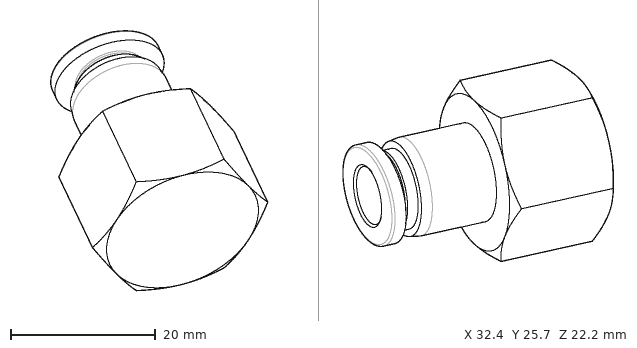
import cadquery as cq
import math

total_length = 32.4

hex_across_flats = 22.23
hex_start = 16.4
hex_length = total_length - hex_start
hex_across_corners = hex_across_flats / math.cos(math.radians(30))
hex_chamfer_angle = 30.0
hex_chamfer_radial = (hex_across_corners - hex_across_flats) / 2
hex_chamfer_axial = hex_chamfer_radial * math.tan(math.radians(hex_chamfer_angle))

barrel_diameter = 14.0
barrel_taper_end = 6.55
barrel_start = 5.0
barrel_nose_diameter = 13.5

flange_width = 16.0
flange_height = barrel_diameter
flange_thickness = 2.05
flange_edge_radius = 0.32
neck_diameter = 9.7
neck_fillet = 0.2
collar_diameter = 11.45
collar_start = 3.15
collar_chamfer = 0.23
sleeve_length = barrel_start

bore_diameter = 8.2
bore_chamfer = 0.32
bore_end = hex_start


def cylinder(diameter, start, end):
    """Solid cylinder along X between two positions."""
    return cq.Workplane("YZ", origin=(start, 0, 0)).circle(diameter / 2).extrude(end - start)


def make_hexagon():
    """Hexagon with corners on the Y axis and conical chamfers at both ends."""
    hexagon = (
        cq.Workplane("YZ", origin=(hex_start, 0, 0))
        .polygon(6, hex_across_corners)
        .extrude(hex_length)
    )
    face_radius = hex_across_flats / 2
    corner_radius = hex_across_corners / 2
    envelope = (
        cq.Workplane("XY")
        .moveTo(hex_start, 0)
        .lineTo(hex_start, face_radius)
        .lineTo(hex_start + hex_chamfer_axial, corner_radius)
        .lineTo(total_length - hex_chamfer_axial, corner_radius)
        .lineTo(total_length, face_radius)
        .lineTo(total_length, 0)
        .close()
        .revolve(360, (0, 0, 0), (1, 0, 0))
    )
    return hexagon.intersect(envelope)


def make_barrel():
    """Round barrel with a tapered nose."""
    return (
        cq.Workplane("XY")
        .moveTo(barrel_start, 0)
        .lineTo(barrel_start, barrel_nose_diameter / 2)
        .lineTo(barrel_taper_end, barrel_diameter / 2)
        .lineTo(hex_start, barrel_diameter / 2)
        .lineTo(hex_start, 0)
        .close()
        .revolve(360, (0, 0, 0), (1, 0, 0))
    )


def make_housing():
    """Barrel and hexagon with a blind tube bore; the sleeve butts against the barrel nose."""
    tube_bore = cylinder(bore_diameter, barrel_start, bore_end)
    return make_hexagon().union(make_barrel()).cut(tube_bore)


def make_sleeve():
    """Oval flange, round neck and chamfered collar, bored through for the tube."""
    flange = (
        cq.Workplane("YZ")
        .ellipse(flange_width / 2, flange_height / 2)
        .extrude(flange_thickness)
        .faces("<X")
        .edges()
        .fillet(flange_edge_radius)
    )
    neck = cylinder(neck_diameter, flange_thickness, collar_start)
    neck_root = cq.selectors.BoxSelector(
        (flange_thickness - neck_fillet, -neck_diameter, -neck_diameter),
        (flange_thickness + neck_fillet, neck_diameter, neck_diameter),
    )
    sleeve = flange.union(neck).edges(neck_root).edges("%CIRCLE").fillet(neck_fillet)
    collar = cylinder(collar_diameter, collar_start, sleeve_length).faces("<X").chamfer(collar_chamfer)
    bored = sleeve.union(collar).cut(cylinder(bore_diameter, 0, sleeve_length))
    return bored.faces("<X").edges("%CIRCLE").chamfer(bore_chamfer)


housing = make_housing()
sleeve = make_sleeve()
result = cq.Compound.makeCompound([housing.val(), sleeve.val()])